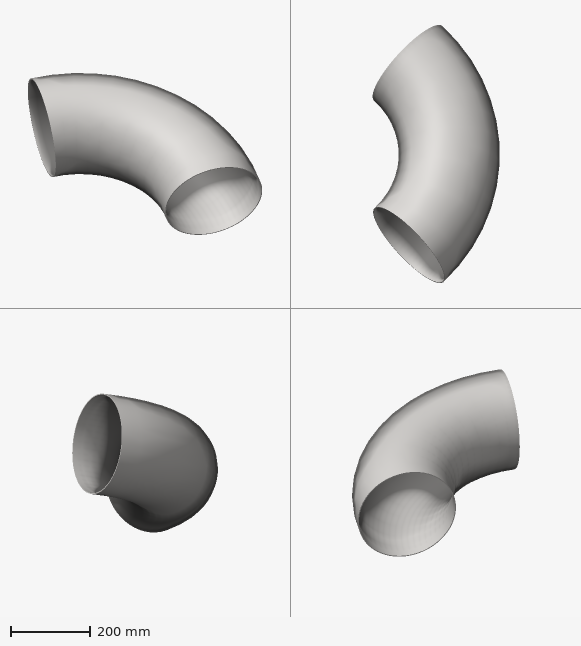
import cadquery as cq

outer_diameter = 255.0
wall_thickness = 2.5
bend_radius = 350.0
bend_angle = 90.0

outer_radius = outer_diameter / 2
inner_radius = outer_radius - wall_thickness


def make_elbow():
    """Sweep the pipe's ring section around a vertical bend axis.

    The bend axis runs parallel to Z through (bend_radius, 0). One end opens
    toward -Y, centred on the origin, and the other opens toward +X.
    """
    ring = cq.Workplane("XZ").circle(outer_radius).circle(inner_radius)
    axis_start = (bend_radius, 0)
    axis_end = (bend_radius, -1)
    return ring.revolve(bend_angle, axis_start, axis_end)


result = make_elbow()